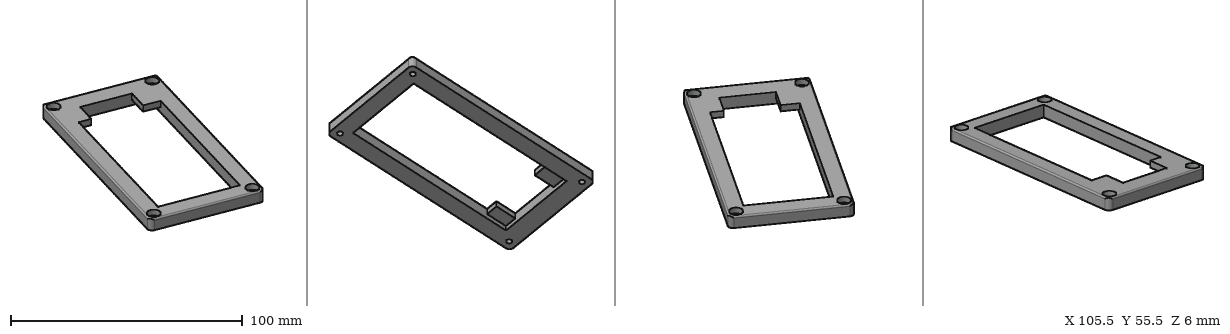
import cadquery as cq

LENGTH = 105.5
WIDTH = 55.5
HEIGHT = 6.0
CORNER_RADIUS = 2.3
TOP_FILLET = 0.7

WINDOW_LEFT = -32.5
WINDOW_RIGHT = 44.7
WINDOW_WIDTH = 39.5

NOTCH_LEFT = -43.4
NOTCH_BOTTOM = -13.6
NOTCH_TOP = 11.3

TAB_THICKNESS = 3.3

HOLE_INSET = 4.0
HOLE_TOP_DIAMETER = 3.1
HOLE_BOTTOM_DIAMETER = 2.5
COUNTERBORE_DIAMETER = 6.0
COUNTERBORE_DEPTH = 3.0


def box_between(x_min, x_max, y_min, y_max, z_min, z_max):
    """Box given by its limits along each axis."""
    size = (x_max - x_min, y_max - y_min, z_max - z_min)
    return cq.Workplane("XY").box(*size, centered=False).translate((x_min, y_min, z_min))


def frame_plate():
    """Plate on Z = 0 with a rounded top edge; the corners are then rounded straight down."""
    block = cq.Workplane("XY").box(LENGTH, WIDTH, HEIGHT, centered=(True, True, False))
    rounded_top = block.faces(">Z").edges().fillet(TOP_FILLET)
    rounded_corners = block.edges("|Z").fillet(CORNER_RADIUS)
    return rounded_top.intersect(rounded_corners)


def window_opening():
    """Window and notch through the plate, with a recess below the tabs."""
    half_width = WINDOW_WIDTH / 2
    window = box_between(WINDOW_LEFT, WINDOW_RIGHT, -half_width, half_width, 0, HEIGHT)
    notch = box_between(NOTCH_LEFT, WINDOW_LEFT, NOTCH_BOTTOM, NOTCH_TOP, 0, HEIGHT)
    recess_top = HEIGHT - TAB_THICKNESS
    recess = box_between(NOTCH_LEFT, WINDOW_LEFT, -half_width, half_width, 0, recess_top)
    return window.union(notch).union(recess)


def screw_hole():
    """Counterbore with a tapered hole below it, centred on the Z axis."""
    floor_z = HEIGHT - COUNTERBORE_DEPTH
    tapered_hole = (
        cq.Workplane("XY")
        .circle(HOLE_BOTTOM_DIAMETER / 2)
        .workplane(offset=floor_z)
        .circle(HOLE_TOP_DIAMETER / 2)
        .loft()
    )
    counterbore = (
        cq.Workplane("XY", origin=(0, 0, floor_z))
        .circle(COUNTERBORE_DIAMETER / 2)
        .extrude(COUNTERBORE_DEPTH)
    )
    return tapered_hole.union(counterbore)


result = frame_plate().cut(window_opening())

hole_x = LENGTH / 2 - HOLE_INSET
hole_y = WIDTH / 2 - HOLE_INSET
for x in (-hole_x, hole_x):
    for y in (-hole_y, hole_y):
        result = result.cut(screw_hole().translate((x, y, 0)))